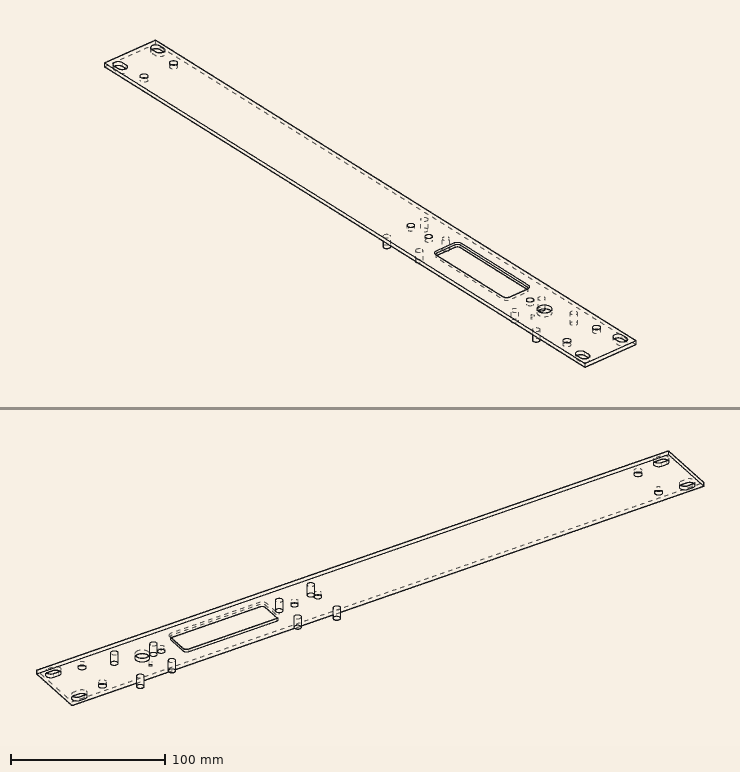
import cadquery as cq

PANEL_LENGTH = 483.0
PANEL_WIDTH = 43.5
PANEL_THICKNESS = 3.0
TOTAL_HEIGHT = 11.0

SLOT_WIDTH = 7.0
SLOT_LENGTH = 10.5
SLOT_PITCH_X = 464.5
SLOT_PITCH_Y = 32.0

SCREW_HOLE_DIAMETER = 5.5
SCREW_HOLE_PITCH_X = 425.0
SCREW_HOLE_PITCH_Y = 25.0

CONTROLS_Y = 1.5
WINDOW_X = 110.5
WINDOW_LENGTH = 72.0
WINDOW_WIDTH = 20.0
WINDOW_BEVEL = 1.0
BEVEL_ANGLE = 45.0
WINDOW_CORNER_RADIUS = 2.5

INDICATOR_DIAMETER = 5.0
INDICATOR_POSITIONS_X = (39.0, 57.0, 159.0)
KNOB_HOLE_DIAMETER = 9.5
KNOB_HOLE_X = 173.5

KEY_RECESS_DIAMETER = 2.2
KEY_RECESS_DEPTH = 2.15
KEY_RECESS_DISTANCE = 10.0

STANDOFF_DIAMETER = 5.0
STANDOFF_LENGTH = TOTAL_HEIGHT - PANEL_THICKNESS
OUTER_STANDOFF_PITCH = (150.0, 32.0)
INNER_STANDOFF_PITCH = (96.0, 22.5)


def corner_points(pitch_x, pitch_y, center_x=0.0):
    """Corners of a rectangle with sides pitch_x and pitch_y, centred on Y = 0."""
    return [
        (center_x + side_x * pitch_x / 2, side_y * pitch_y / 2)
        for side_x in (-1, 1)
        for side_y in (-1, 1)
    ]


def make_panel():
    """Flat panel with its underside at Z = 0."""
    panel = cq.Workplane("XY").box(
        PANEL_LENGTH, PANEL_WIDTH, PANEL_THICKNESS, centered=(True, True, False)
    )
    panel = cut_window(panel)
    panel = cut_mounting_slots(panel)

    panel = cut_holes(panel, corner_points(SCREW_HOLE_PITCH_X, SCREW_HOLE_PITCH_Y), SCREW_HOLE_DIAMETER)
    indicator_points = [(x, CONTROLS_Y) for x in INDICATOR_POSITIONS_X]
    panel = cut_holes(panel, indicator_points, INDICATOR_DIAMETER)
    panel = cut_holes(panel, [(KNOB_HOLE_X, CONTROLS_Y)], KNOB_HOLE_DIAMETER)
    return cut_key_recess(panel)


def cut_holes(panel, points, diameter):
    """Round holes through the panel."""
    cutter = cq.Workplane("XY").pushPoints(points).circle(diameter / 2).extrude(PANEL_THICKNESS)
    return panel.cut(cutter)


def cut_mounting_slots(panel):
    """Round-ended slots through the panel, long side along X."""
    points = corner_points(SLOT_PITCH_X, SLOT_PITCH_Y)
    cutter = cq.Workplane("XY").pushPoints(points).slot2D(SLOT_LENGTH, SLOT_WIDTH).extrude(PANEL_THICKNESS)
    return panel.cut(cutter)


def cut_key_recess(panel):
    """Blind recess in the underside, beside the knob hole, that keeps the control from turning."""
    cutter = (
        cq.Workplane("XY")
        .center(KNOB_HOLE_X, CONTROLS_Y - KEY_RECESS_DISTANCE)
        .circle(KEY_RECESS_DIAMETER / 2)
        .extrude(KEY_RECESS_DEPTH)
    )
    return panel.cut(cutter)


def cut_window(panel):
    """Opening with rounded corners whose top rim is bevelled."""
    outline = cq.Sketch().rect(WINDOW_LENGTH, WINDOW_WIDTH).vertices().fillet(WINDOW_CORNER_RADIUS)
    base = cq.Workplane("XY").center(WINDOW_X, CONTROLS_Y)
    opening = base.placeSketch(outline).extrude(PANEL_THICKNESS)
    bevel = (
        base.workplane(offset=PANEL_THICKNESS - WINDOW_BEVEL)
        .placeSketch(outline)
        .extrude(WINDOW_BEVEL, taper=-BEVEL_ANGLE)
    )
    return panel.cut(opening).cut(bevel)


def make_standoff(x, y):
    """Round post hanging from the underside of the panel."""
    return cq.Workplane("XY").center(x, y).circle(STANDOFF_DIAMETER / 2).extrude(-STANDOFF_LENGTH)


panel = make_panel()
standoffs = [
    make_standoff(x, y)
    for pitch in (OUTER_STANDOFF_PITCH, INNER_STANDOFF_PITCH)
    for x, y in corner_points(*pitch, center_x=WINDOW_X)
]

result = cq.Compound.makeCompound([panel.val(), *[standoff.val() for standoff in standoffs]])